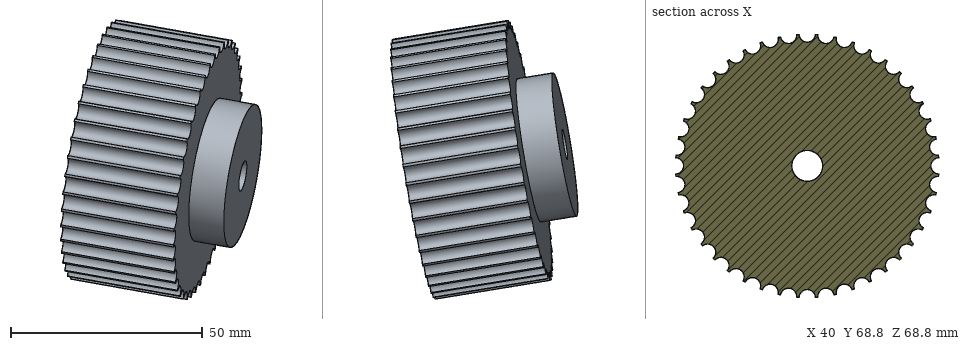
import cadquery as cq
import math

tooth_count = 44
belt_pitch = 5.0
pitch_line_offset = 0.5715
outer_radius = tooth_count * belt_pitch / (2 * math.pi) - pitch_line_offset
groove_radius = 2.1

overall_length = 40.0
toothed_length = 30.5
hub_length = overall_length - toothed_length
hub_diameter = 38.0
bore_diameter = 8.0


def make_toothed_body():
    """Cylinder with round belt grooves centred on its outer circle."""
    body = cq.Workplane("YZ").circle(outer_radius).extrude(toothed_length)
    grooves = (
        cq.Workplane("YZ")
        .polarArray(outer_radius, 0, 360, tooth_count)
        .circle(groove_radius)
        .extrude(toothed_length)
    )
    return body.cut(grooves)


def add_hub(body):
    """Plain round hub on the +X face."""
    hub = cq.Workplane("YZ", origin=(toothed_length, 0, 0)).circle(hub_diameter / 2).extrude(hub_length)
    return body.union(hub)


def cut_bore(body):
    """Shaft bore through the whole length."""
    bore = cq.Workplane("YZ").circle(bore_diameter / 2).extrude(overall_length)
    return body.cut(bore)


result = cut_bore(add_hub(make_toothed_body()))